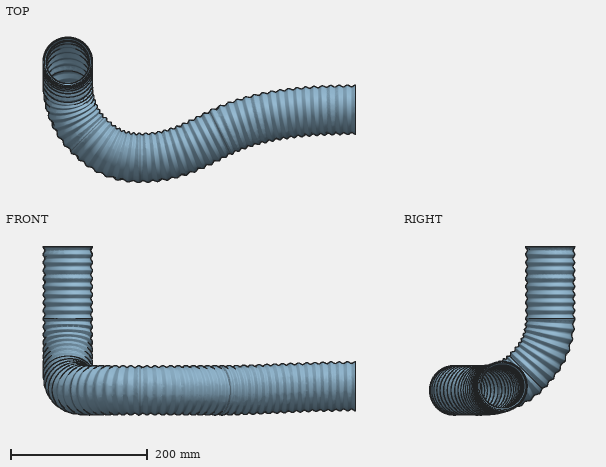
import cadquery as cq
import math

crest_radius = 36.5
wave_depth = 2.8
wall = 2.0
wave_count = 59
sections_per_wave = 6

inlet_length = 105.3
drop = 210.8
first_bend_drop = 184.5
first_bend_reach = 35.5
second_bend_side = 29.0
second_bend_reach = 106.0
lowest_side = 106.0
lowest_reach = 140.5
slope_side = 223.0
slope_reach = 103.5
slope_angle = math.radians(26)
outlet_side = 421.6
outlet_reach = 70.0
outlet_rise = 6.0

DOWN = cq.Vector(0, 0, -1)
UP = cq.Vector(0, 0, 1)
ALONG = cq.Vector(1, 0, 0)
PARALLEL_TOLERANCE = 1e-6

stations = [
    (cq.Vector(0, 0, 0), DOWN),
    (cq.Vector(0, 0, -inlet_length), DOWN),
    (cq.Vector(0, -first_bend_reach, -first_bend_drop), cq.Vector(0, -1, -1)),
    (cq.Vector(second_bend_side, -second_bend_reach, -drop), cq.Vector(1, -1, 0)),
    (cq.Vector(lowest_side, -lowest_reach, -drop), ALONG),
    (
        cq.Vector(slope_side, -slope_reach, -drop),
        cq.Vector(math.cos(slope_angle), math.sin(slope_angle), 0),
    ),
    (cq.Vector(outlet_side, -outlet_reach, outlet_rise - drop), ALONG),
]


def centreline(start, end):
    """Curve between two stations that leaves and arrives along their headings."""
    (start_point, start_heading), (end_point, end_heading) = start, end
    tangents = [start_heading.normalized(), end_heading.normalized()]
    return cq.Edge.makeSpline([start_point, end_point], tangents=tangents)


paths = [centreline(start, end) for start, end in zip(stations, stations[1:])]
wave_pitch = sum(path.Length() for path in paths) / wave_count


def section_plane(path, fraction):
    """Plane square to the path whose x axis is level, on the right-hand side of the tube."""
    heading = path.tangentAt(fraction)
    side = heading.cross(UP)
    if side.Length < PARALLEL_TOLERANCE:
        side = -ALONG
    return cq.Plane(path.positionAt(fraction), side, heading)


def tube_radius(distance, mean_radius):
    """Radius of the wavy surface at a distance along the whole centreline; both ends are crests."""
    return mean_radius + wave_depth / 2 * math.cos(2 * math.pi * distance / wave_pitch)


def wavy_faces(path, start_distance, mean_radius):
    """Wavy skin of one tube length, which starts at the given distance along the centreline."""
    steps = math.ceil(path.Length() / wave_pitch * sections_per_wave)
    rings = []
    for step in range(steps + 1):
        fraction = step / steps
        radius = tube_radius(start_distance + fraction * path.Length(), mean_radius)
        ring = cq.Wire.makeCircle(radius, cq.Vector(), UP)
        rings.append(ring.moved(cq.Location(section_plane(path, fraction))))
    return cq.occ_impl.shapes.loft(rings, degree=3).Faces()


def wall_surface(mean_radius):
    """Wavy surface along the whole centreline, with a joint between tube lengths."""
    faces = []
    distance = 0
    for path in paths:
        faces += wavy_faces(path, distance, mean_radius)
        distance += path.Length()
    return faces


def end_ring(station):
    """Flat ring that closes the wall at one end of the tube."""
    point, heading = station
    outer_edge = cq.Wire.makeCircle(crest_radius, point, heading)
    inner_edge = cq.Wire.makeCircle(crest_radius - wall, point, heading)
    return cq.Face.makeFromWires(outer_edge, [inner_edge])


outer_mean_radius = crest_radius - wave_depth / 2
skin = wall_surface(outer_mean_radius) + wall_surface(outer_mean_radius - wall)
skin += [end_ring(stations[0]), end_ring(stations[-1])]
tube = cq.Solid.makeSolid(cq.Shell.makeShell(skin))
result = cq.Workplane("XY").newObject([tube])